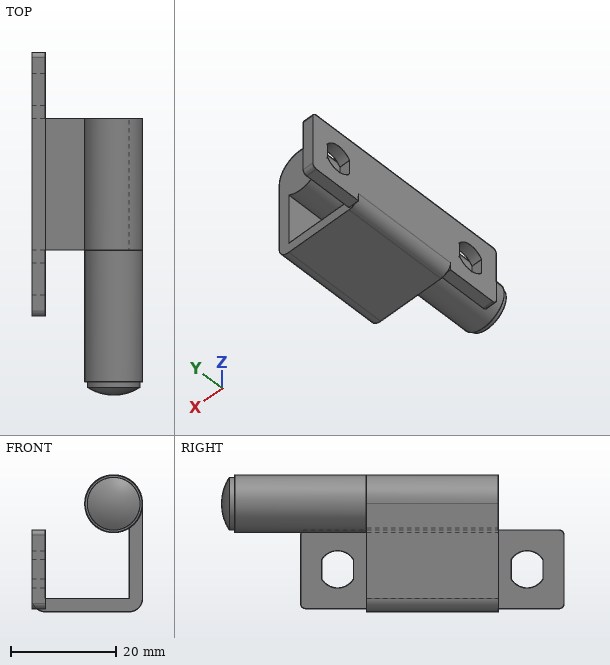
import cadquery as cq
import math


width = 21.0
height = 26.0
length = 65.0

rod_diameter = 11.0
rod_radius = rod_diameter / 2
barrel_length = 25.0
rod_x = width - rod_radius
rod_z = height - rod_radius

cap_radius = 5.0
cap_rim_length = 1.0
dome_height = 1.5
cap_length = cap_rim_length + dome_height
edge_chamfer = 0.1

sheet = 2.55
bend_radius = sheet
plate_length = 50.0
plate_height = 14.95
plate_bottom = 0.6
plate_top = plate_bottom + plate_height
plate_corner_radius = 1.0

hole_diameter = 7.0
hole_flat_width = 6.0
hole_end_distance = 7.0

barrel_start = cap_length
joint_y = barrel_start + barrel_length
leaf_end = joint_y + barrel_length
plate_start = length - plate_length


def rod_section(start, section_length):
    """Cylinder on the hinge axis, from start towards +Y."""
    plane = cq.Plane(origin=(rod_x, start, rod_z), xDir=(1, 0, 0), normal=(0, 1, 0))
    return cq.Workplane(plane).circle(rod_radius).extrude(section_length)


def make_strap():
    """Channel with rounded outer bends, joining the plate to the tangent side of the rod."""
    bend_offset = bend_radius * (1 - math.sqrt(0.5))
    outline = (
        cq.Workplane("XZ", origin=(0, leaf_end, 0))
        .moveTo(0, plate_top)
        .lineTo(0, bend_radius)
        .threePointArc((bend_offset, bend_offset), (bend_radius, 0))
        .lineTo(width - bend_radius, 0)
        .threePointArc((width - bend_offset, bend_offset), (width, bend_radius))
        .lineTo(width, rod_z)
        .lineTo(width - sheet, rod_z)
        .lineTo(width - sheet, sheet)
        .lineTo(sheet, sheet)
        .lineTo(sheet, plate_top)
        .close()
    )
    return outline.extrude(barrel_length)


def make_ear(start, end, outer_side):
    """Plate end beside the strap, with rounded outer corners."""
    ear = cq.Workplane("XY").box(sheet, end - start, plate_height, centered=False)
    ear = ear.translate((0, start, plate_bottom))
    return ear.faces(outer_side).edges("|X").fillet(plate_corner_radius)


def make_hole(center_y):
    """Round hole cutter narrowed by two vertical flats."""
    center_z = plate_bottom + plate_height / 2
    plane = cq.Workplane("YZ", origin=(0, center_y, center_z))
    round_cutter = plane.circle(hole_diameter / 2).extrude(sheet)
    flat_cutter = plane.rect(hole_flat_width, hole_diameter).extrude(sheet)
    return round_cutter.intersect(flat_cutter)


def make_fixed_leaf():
    """Mounting plate, strap and rear barrel in one piece."""
    leaf = make_strap().union(rod_section(joint_y, barrel_length))
    leaf = leaf.union(make_ear(plate_start, joint_y, "<Y"))
    leaf = leaf.union(make_ear(leaf_end, length, ">Y"))
    for hole_y in (plate_start + hole_end_distance, length - hole_end_distance):
        leaf = leaf.cut(make_hole(hole_y))
    return leaf


def make_free_barrel():
    """Front barrel with chamfered ends and a domed cap."""
    barrel = rod_section(barrel_start, barrel_length).faces("<Y or >Y").chamfer(edge_chamfer)
    dome_radius = (cap_radius**2 + dome_height**2) / (2 * dome_height)
    half_angle = math.asin(cap_radius / dome_radius) / 2
    middle = (
        dome_radius * math.sin(half_angle),
        dome_radius * (1 - math.cos(half_angle)),
    )
    cap = (
        cq.Workplane("XY", origin=(rod_x, 0, rod_z))
        .moveTo(0, 0)
        .threePointArc(middle, (cap_radius, dome_height))
        .lineTo(cap_radius, cap_length)
        .lineTo(0, cap_length)
        .close()
        .revolve(360, (0, 0, 0), (0, 1, 0))
    )
    return barrel.union(cap)


fixed_leaf = make_fixed_leaf()
free_barrel = make_free_barrel()

result = cq.Compound.makeCompound([fixed_leaf.val(), free_barrel.val()])